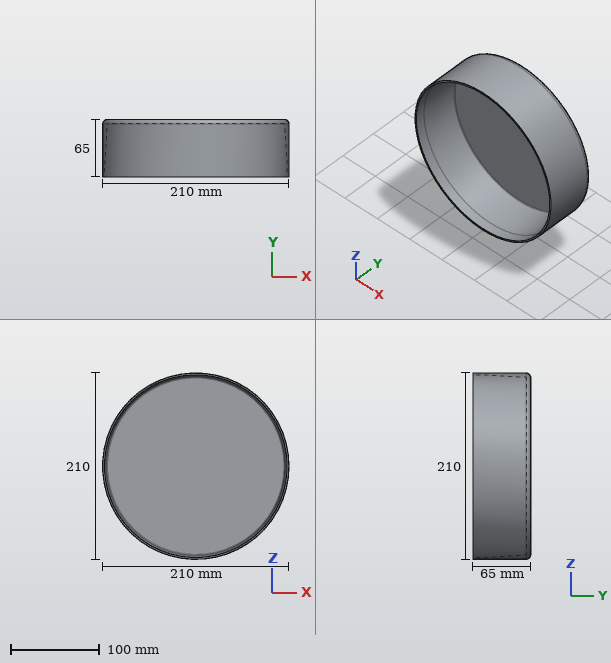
import cadquery as cq

outer_radius = 105.0
height = 65.0
edge_radius = 5.5
lip_wall = 2.0
lip_depth = 12.5
base_wall = 4.8
floor_thickness = 5.0
floor_fillet = 0.8

mouth_y = -height / 2
back_y = height / 2
floor_y = back_y - floor_thickness


def shell_body():
    """Solid disc with its closed end rounded."""
    disc = cq.Workplane("XZ", origin=(0, back_y, 0)).circle(outer_radius).extrude(height)
    return disc.faces(">Y").edges().fillet(edge_radius)


def cavity():
    """Straight bore at the mouth, then a taper down to a rounded floor corner."""
    lip_radius = outer_radius - lip_wall
    floor_radius = outer_radius - base_wall
    profile = (
        cq.Workplane("XY")
        .moveTo(0, mouth_y)
        .lineTo(lip_radius, mouth_y)
        .lineTo(lip_radius, mouth_y + lip_depth)
        .lineTo(floor_radius, floor_y)
        .lineTo(0, floor_y)
        .close()
    )
    bore = profile.revolve(360, (0, 0, 0), (0, 1, 0))
    return bore.faces(">Y").edges().fillet(floor_fillet)


result = shell_body().cut(cavity())